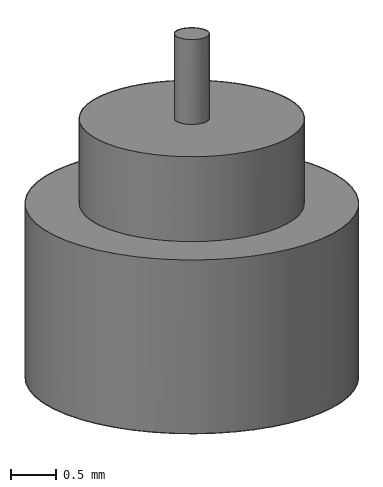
import cadquery as cq

total_height = 4.05
body_diameter = 3.7
boss_diameter = 2.5
boss_height = 1.0
pin_diameter = 0.39
pin_height = boss_height
body_height = total_height - boss_height - pin_height


def add_cylinder(base, diameter, height):
    """Stand a concentric cylinder on the top face of the base."""
    return base.faces(">Z").workplane().circle(diameter / 2).extrude(height)


body = cq.Workplane("XY").circle(body_diameter / 2).extrude(body_height)

body_with_boss = add_cylinder(body, boss_diameter, boss_height)

result = add_cylinder(body_with_boss, pin_diameter, pin_height)